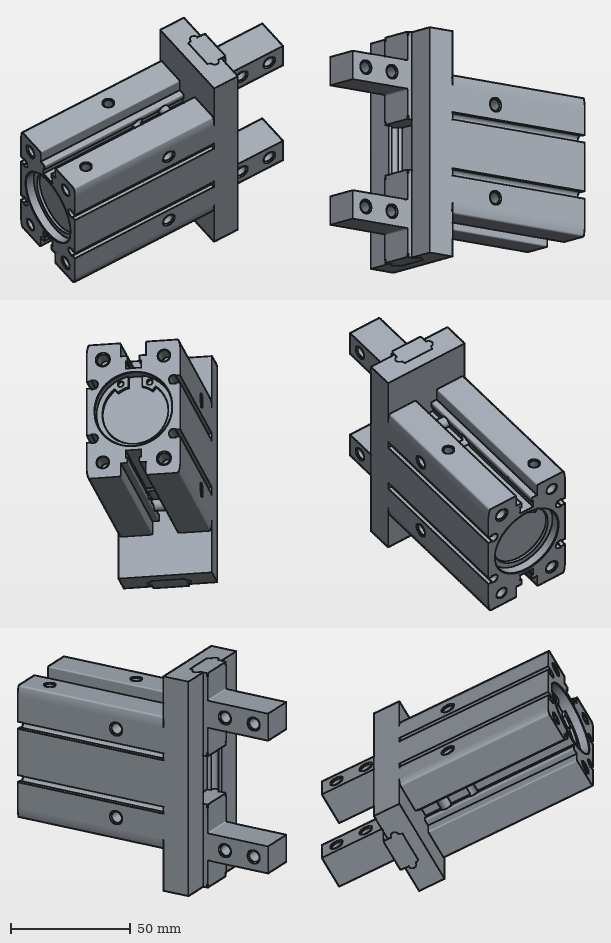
import cadquery as cq
import math


width = 40.0
body_length = 70.9
body_height = 59.8
plate_thickness = 12.1
plate_height = 97.0
plate_front = body_length + plate_thickness
half_width = width / 2
half_height = body_height / 2

corner_start = 25.4
corner_radius = 13.3
corner_fillet = 1.0

slot_width = 10.8
slot_depth = 6.0
slot_edge_fillet = 0.7
neck_width = 5.0
neck_depth = 2.4
neck_edge_fillet = 0.6
tee_width = 6.6
tee_height = 3.2

groove_pitch = 24.2
groove_width = 4.0
groove_depth = 4.8
groove_mouth_width = 3.2
groove_mouth_depth = 2.1

bore_diameter = 33.0
bore_chamfer = 0.2
bore_depth = 5.5
ring_thickness = 1.4
ring_inner_diameter = 28.2
lug_inner_radius = 11.9
lug_half_angle = 38.4
lug_gap = 5.8
lug_hole_diameter = 2.5
lug_hole_x = 6.2
lug_hole_z = 13.2

rear_hole_x = 13.0
rear_hole_z = 23.0
rear_hole_diameter = 5.0
rear_hole_depth = 8.6
rear_narrow_chamfer = 0.2
thread_chamfer = 0.6
side_hole_y = 47.9
side_hole_z = 20.0
side_hole_diameter = 4.9
port_x = 12.0
port_diameter = 4.1
port_chamfer = 0.5
port_depth = 9.2
port_rear_y = 11.1
port_front_y = 39.0

pin_diameter = 4.9
pin_y = 60.7
pin_z = 20.6

jaw_width = 15.3
jaw_inner_end = 10.9
jaw_base_proud = 2.2
guide_depth = 6.6
guide_corner_width = 0.7
ball_track_diameter = 3.4
ball_track_depth = 3.3
finger_tip = 114.5
finger_thickness = 12.3
finger_z = 30.0
finger_root_fillet = 0.6
corner_cut_width = 0.3
corner_cut_depth = 0.6
corner_cut_length = 1.4
finger_hole_diameter = 4.9
finger_hole_count = 2
finger_hole_pitch = 14.0
finger_hole_edge = 7.0
jaw_outer_end = plate_height / 2
base_front = plate_front + jaw_base_proud


def rear_plane(y):
    """Plane facing -Y at the given Y, with local x along X and local y along Z."""
    return cq.Workplane("XZ", origin=(0, y, 0))


def countersunk_hole(origin, direction, diameter, depth, chamfer):
    """Cutter for a hole that starts at origin and has a 45-degree chamfered mouth."""
    start = cq.Vector(*origin)
    axis = cq.Vector(*direction)
    radius = diameter / 2
    drill = cq.Solid.makeCylinder(radius, depth, start, axis)
    mouth = cq.Solid.makeCone(radius + chamfer, radius, chamfer, start, axis)
    return cq.Workplane(drill.fuse(mouth))


def quarter_block():
    """Quarter of the housing block at +X and +Z, with its rounded long corner."""
    centre_x = half_width - corner_radius
    end_angle = math.asin((half_height - corner_start) / corner_radius)

    def curve_point(angle):
        return (
            centre_x + corner_radius * math.cos(angle),
            corner_start + corner_radius * math.sin(angle),
        )

    curve_end = curve_point(end_angle)
    return (
        rear_plane(0)
        .lineTo(half_width, 0)
        .lineTo(half_width, corner_start)
        .threePointArc(curve_point(end_angle / 2), curve_end)
        .lineTo(0, half_height)
        .close()
        .extrude(-body_length)
        .edges(cq.selectors.NearestToPointSelector((curve_end[0], body_length / 2, half_height)))
        .fillet(corner_fillet)
    )


def housing_block():
    """Whole housing block, mirrored from its quarter."""
    half = quarter_block()
    half = half.union(half.mirror("YZ"))
    return half.union(half.mirror("XY"))


def tee_slot():
    """Cutter for the slot in the top of the block, with rounded edges at its two mouths."""
    slot_floor = half_height - slot_depth
    neck_floor = slot_floor - neck_depth
    tee_floor = neck_floor - tee_height
    slot_half = slot_width / 2
    neck_half = neck_width / 2
    tee_half = tee_width / 2
    return (
        rear_plane(0)
        .moveTo(0, half_height)
        .lineTo(slot_half + slot_edge_fillet, half_height)
        .radiusArc((slot_half, half_height - slot_edge_fillet), -slot_edge_fillet)
        .lineTo(slot_half, slot_floor)
        .lineTo(neck_half + neck_edge_fillet, slot_floor)
        .radiusArc((neck_half, slot_floor - neck_edge_fillet), -neck_edge_fillet)
        .lineTo(neck_half, neck_floor)
        .lineTo(tee_half, neck_floor)
        .lineTo(tee_half, tee_floor)
        .lineTo(0, tee_floor)
        .close()
        .extrude(-body_length)
        .mirror("YZ", union=True)
    )


def sensor_groove(side, z):
    """Cutter for one groove along Y in the side at +X (side 1) or -X (side -1)."""
    mouth_half = groove_mouth_width / 2
    groove_half = groove_width / 2
    side_x = side * half_width
    shoulder_x = side * (half_width - groove_mouth_depth)
    round_x = side * (half_width - groove_depth + groove_half)
    end_x = side * (half_width - groove_depth)
    return (
        rear_plane(0)
        .moveTo(side_x, z - mouth_half)
        .lineTo(shoulder_x, z - mouth_half)
        .lineTo(shoulder_x, z - groove_half)
        .lineTo(round_x, z - groove_half)
        .threePointArc((end_x, z), (round_x, z + groove_half))
        .lineTo(shoulder_x, z + groove_half)
        .lineTo(shoulder_x, z + mouth_half)
        .lineTo(side_x, z + mouth_half)
        .close()
        .extrude(-body_length)
    )


def retaining_ring():
    """Ring with two drilled lugs, seated on the bottom of the bore."""
    bore_radius = bore_diameter / 2
    ring = (
        rear_plane(bore_depth)
        .circle(bore_radius)
        .circle(ring_inner_diameter / 2)
        .extrude(ring_thickness)
    )
    edge = math.radians(lug_half_angle)
    sector = (
        rear_plane(bore_depth)
        .lineTo(-bore_radius * math.tan(edge), bore_radius)
        .lineTo(bore_radius * math.tan(edge), bore_radius)
        .close()
        .extrude(ring_thickness)
    )
    annulus = (
        rear_plane(bore_depth)
        .circle(bore_radius)
        .circle(lug_inner_radius)
        .extrude(ring_thickness)
    )
    gap = (
        rear_plane(bore_depth)
        .center(0, bore_radius / 2)
        .rect(lug_gap, bore_radius)
        .extrude(ring_thickness)
    )
    holes = (
        rear_plane(bore_depth)
        .pushPoints([(-lug_hole_x, lug_hole_z), (lug_hole_x, lug_hole_z)])
        .circle(lug_hole_diameter / 2)
        .extrude(ring_thickness)
    )
    return ring.union(annulus.intersect(sector)).cut(gap).cut(holes)


def guide_section(front):
    """Jaw section in the guide channel, as a wire in XY whose flat front is at Y = front."""
    half = jaw_width / 2
    floor = plate_front - guide_depth
    ball_y = plate_front - ball_track_depth
    ball_radius = ball_track_diameter / 2
    return (
        cq.Workplane("XY")
        .moveTo(-half, front)
        .lineTo(-half, ball_y + ball_radius)
        .threePointArc((-half - ball_radius, ball_y), (-half, ball_y - ball_radius))
        .lineTo(-half + guide_corner_width, floor)
        .lineTo(half - guide_corner_width, floor)
        .lineTo(half, ball_y - ball_radius)
        .threePointArc((half + ball_radius, ball_y), (half, ball_y + ball_radius))
        .lineTo(half, front)
        .close()
    )


def make_housing():
    """Block and guide plate with all slots, grooves and holes, the retaining ring and the pins."""
    plate = (
        rear_plane(plate_front)
        .rect(width, plate_height)
        .extrude(plate_thickness)
    )
    channel = guide_section(plate_front).extrude(plate_height / 2, both=True)
    housing = housing_block().union(plate).cut(channel)

    slot = tee_slot()
    housing = housing.cut(slot).cut(slot.mirror("XY"))
    for side in (-1, 1):
        for z in (-groove_pitch / 2, groove_pitch / 2):
            housing = housing.cut(sensor_groove(side, z))

    bore = countersunk_hole((0, 0, 0), (0, 1, 0), bore_diameter, bore_depth, bore_chamfer)
    housing = housing.cut(bore).union(retaining_ring())

    for side in (-1, 1):
        for end in (-1, 1):
            mouth = (side * rear_hole_x, 0, end * rear_hole_z)
            chamfer = rear_narrow_chamfer if side == end else thread_chamfer
            housing = housing.cut(
                countersunk_hole(mouth, (0, 1, 0), rear_hole_diameter, rear_hole_depth, chamfer)
            )

    for end in (-1, 1):
        for side in (-1, 1):
            mouth = (side * half_width, side_hole_y, end * side_hole_z)
            inward = (-side, 0, 0)
            housing = housing.cut(
                countersunk_hole(mouth, inward, side_hole_diameter, half_width, thread_chamfer)
            )

    for x, y in ((-port_x, port_front_y), (port_x, port_rear_y)):
        housing = housing.cut(
            countersunk_hole((x, y, half_height), (0, 0, -1), port_diameter, port_depth, port_chamfer)
        )

    for end in (-1, 1):
        pin = (
            cq.Workplane("YZ", origin=(-half_width, 0, 0))
            .center(pin_y, end * pin_z)
            .circle(pin_diameter / 2)
            .extrude(width)
        )
        housing = housing.union(pin, clean=False)
    return housing


def base_corner_cuts():
    """Cutter for the bevels at the four front corners of a jaw base, short along Z."""
    half = jaw_width / 2
    bevels = cq.Workplane("XY")
    for side in (-1, 1):
        for bottom in (jaw_inner_end, jaw_outer_end - corner_cut_length):
            bevel = (
                cq.Workplane("XY", origin=(side * half, base_front, bottom))
                .lineTo(-side * corner_cut_width, 0)
                .lineTo(0, -corner_cut_depth)
                .close()
                .extrude(corner_cut_length)
            )
            bevels = bevels.add(bevel)
    return bevels.combine()


def make_jaw(end):
    """Jaw at the +Z end (end 1) or the -Z end (end -1) of the guide channel."""
    base = (
        guide_section(base_front)
        .extrude(jaw_outer_end - jaw_inner_end)
        .translate((0, 0, jaw_inner_end))
    )
    finger_length = finger_tip - base_front
    finger = (
        rear_plane(finger_tip)
        .center(0, finger_z)
        .rect(jaw_width, finger_thickness)
        .extrude(finger_length)
    )
    jaw = base.union(finger)
    root = cq.selectors.BoxSelector(
        (-jaw_width, base_front - finger_root_fillet, finger_z - finger_thickness),
        (jaw_width, base_front + finger_root_fillet, finger_z + finger_thickness),
    )
    jaw = jaw.edges(root).edges("|X").fillet(finger_root_fillet)
    jaw = jaw.cut(base_corner_cuts())
    for index in range(finger_hole_count):
        hole_y = finger_tip - finger_hole_edge - index * finger_hole_pitch
        for side in (-1, 1):
            mouth = (side * jaw_width / 2, hole_y, finger_z)
            jaw = jaw.cut(
                countersunk_hole(mouth, (-side, 0, 0), finger_hole_diameter, jaw_width / 2, thread_chamfer)
            )
    return jaw if end == 1 else jaw.mirror("XY")


housing = make_housing()
jaws = [make_jaw(end) for end in (1, -1)]
result = cq.Compound.makeCompound([housing.val(), *[jaw.val() for jaw in jaws]])